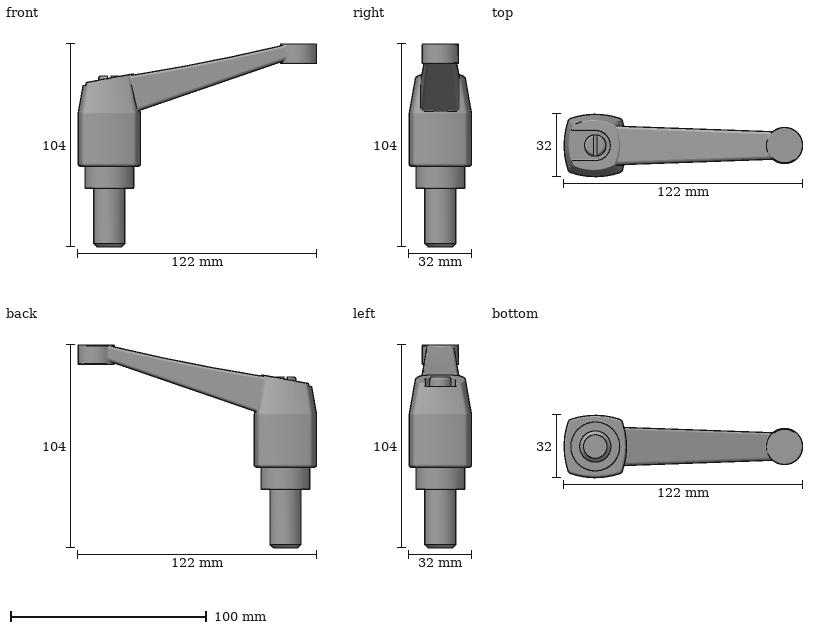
import cadquery as cq
import math


pin_diameter = 16.0
pin_tip_chamfer = 2.0
collar_diameter = 25.0
collar_bottom_z = 30.0
collar_edge_fillet = 0.5

hub_width = 32.0
hub_corner = 13.5
hub_corner_fillet = 2.2
hub_bottom_z = 41.4
hub_shoulder_z = 68.3
hub_taper_angle = 10.0
hub_bottom_fillet = 1.2
hub_shoulder_fillet = 1.5
hub_top_fillet = 0.43

top_angle = 10.5
top_z_at_axis = 86.4

recess_width = 15.4
recess_floor_z = 82.7
recess_floor_fillet = 0.5
screw_diameter = 11.0
screw_top_z = 87.6
screw_edge_fillet = 1.5
screw_slot_width = 1.6
screw_slot_depth = 1.6

overall_length = 122.0
overall_height = 104.0
knob_diameter = 18.5
knob_height = 10.1
knob_edge_fillet = 0.5
knob_x = overall_length - hub_width / 2 - knob_diameter / 2

arm_root_x = 9.2
arm_middle_x = 49.0
arm_end_x = 91.5
arm_root_width = 20.0
arm_end_width = 14.2
arm_root_bottom_z = 67.7
arm_root_top_z = 87.5
arm_middle_top_z = 94.5
arm_end_bottom_z = 96.0
arm_end_top_z = 103.8
arm_edge_fillet = 1.6
arm_joint_fillet = 0.5

surface_tolerance = 0.01


def top_z(x):
    """Height of the sloping top plane at a given X."""
    return top_z_at_axis + x * math.tan(math.radians(top_angle))


def hub_outline(inset):
    """Square with bulged sides and rounded corners, every side moved in by the inset."""
    bulge = hub_width / 2 - inset
    corner = hub_corner - inset
    corners = [(-corner, -corner), (corner, -corner), (corner, corner), (-corner, corner)]
    side_middles = [(0, -bulge), (bulge, 0), (0, bulge), (-bulge, 0)]
    outline = cq.Sketch()
    for start, middle, end in zip(corners, side_middles, corners[1:] + corners[:1]):
        outline = outline.arc(start, middle, end)
    return outline.assemble().vertices().fillet(hub_corner_fillet)


def make_pin_and_collar():
    """Chamfered pin and the collar around its upper end, both reaching up to the hub."""
    pin = cq.Workplane("XY").circle(pin_diameter / 2).extrude(hub_bottom_z)
    pin = pin.faces("<Z").chamfer(pin_tip_chamfer)
    collar = (
        cq.Workplane("XY", origin=(0, 0, collar_bottom_z))
        .circle(collar_diameter / 2)
        .extrude(hub_bottom_z - collar_bottom_z)
        .faces("<Z")
        .edges()
        .fillet(collar_edge_fillet)
    )
    return pin.union(collar)


def make_hub():
    """Bulged square hub with a sloping top and a recess for the screw."""
    straight = (
        cq.Workplane("XY", origin=(0, 0, hub_bottom_z))
        .placeSketch(hub_outline(0))
        .extrude(hub_shoulder_z - hub_bottom_z)
        .faces("<Z")
        .edges()
        .fillet(hub_bottom_fillet)
    )

    reach = hub_width / 2
    loft_top_z = top_z(reach)
    loft_height = loft_top_z - hub_shoulder_z
    inset = loft_height * math.tan(math.radians(hub_taper_angle))
    tapered = (
        cq.Workplane("XY", origin=(0, 0, hub_shoulder_z))
        .placeSketch(hub_outline(0), hub_outline(inset).moved(cq.Location((0, 0, loft_height))))
        .loft(ruled=True)
    )
    hub = straight.union(tapered)
    shoulder = cq.selectors.BoxSelector(
        (-reach, -reach, hub_shoulder_z - surface_tolerance),
        (reach, reach, hub_shoulder_z + surface_tolerance),
        boundingbox=True,
    )
    hub = hub.edges(shoulder).fillet(hub_shoulder_fillet)

    above_top = (
        cq.Workplane("XZ")
        .polyline([(-reach, top_z(-reach)), (reach, top_z(reach)), (-reach, top_z(reach))])
        .close()
        .extrude(reach, both=True)
    )
    hub = hub.cut(above_top).cut(make_recess())

    top_normal = cq.Vector(top_z(0) - top_z(1.2), 0, 1.2)
    rim = hub.faces(cq.selectors.ParallelDirSelector(top_normal)).edges()
    floor_end = hub.edges(
        cq.selectors.BoxSelector(
            (-reach, -recess_width / 2, recess_floor_z - surface_tolerance),
            (-screw_diameter, recess_width / 2, recess_floor_z + surface_tolerance),
            boundingbox=True,
        )
    )
    return rim.add(floor_end).fillet(hub_top_fillet)


def make_arm():
    """Tapering arm with four rounded edges; its ends are buried in the hub and the knob."""
    side_block = (
        cq.Workplane("XZ")
        .moveTo(arm_root_x, arm_root_bottom_z)
        .lineTo(arm_end_x, arm_end_bottom_z)
        .lineTo(arm_end_x, arm_end_top_z)
        .threePointArc((arm_middle_x, arm_middle_top_z), (arm_root_x, arm_root_top_z))
        .close()
        .extrude(arm_root_width, both=True)
    )
    plan = [
        (arm_root_x, -arm_root_width / 2),
        (arm_end_x, -arm_end_width / 2),
        (arm_end_x, arm_end_width / 2),
        (arm_root_x, arm_root_width / 2),
    ]
    plan_block = cq.Workplane("XY").polyline(plan).close().extrude(overall_height)
    arm = side_block.intersect(plan_block)
    long_edges = cq.selectors.BoxSelector(
        (arm_root_x + surface_tolerance, -arm_root_width, 0),
        (arm_end_x - surface_tolerance, arm_root_width, overall_height),
    )
    return arm.edges(long_edges).fillet(arm_edge_fillet)


def make_knob():
    """Short round knob with softened edges."""
    return (
        cq.Workplane("XY", origin=(knob_x, 0, overall_height - knob_height))
        .circle(knob_diameter / 2)
        .extrude(knob_height)
        .faces("<Z or >Z")
        .edges()
        .fillet(knob_edge_fillet)
    )


def make_recess():
    """Round-ended slot with a flat floor, to be cut from the hub top."""
    depth = overall_height - recess_floor_z
    round_end = cq.Workplane("XY", origin=(0, 0, recess_floor_z)).circle(recess_width / 2).extrude(depth)
    channel = (
        cq.Workplane("XY", origin=(0, 0, recess_floor_z))
        .rect(hub_width, recess_width)
        .extrude(depth)
        .translate((-hub_width / 2, 0, 0))
    )
    return round_end.union(channel).faces("<Z").edges("not <X").fillet(recess_floor_fillet)


def make_screw():
    """Slotted round screw head rising out of the hub."""
    head = (
        cq.Workplane("XY", origin=(0, 0, hub_shoulder_z))
        .circle(screw_diameter / 2)
        .extrude(screw_top_z - hub_shoulder_z)
        .faces(">Z")
        .edges()
        .fillet(screw_edge_fillet)
    )
    slot = cq.Workplane("XY", origin=(0, 0, screw_top_z - screw_slot_depth / 2)).box(
        screw_slot_width, screw_diameter, screw_slot_depth
    )
    return head.cut(slot)


def join_with_fillet(body, addition):
    """Unite two solids and round the inner corner where their surfaces cross."""
    body_skin, addition_skin = (solid.shells().val() for solid in (body, addition))
    joined = body.union(addition)
    corner_edges = []
    for edge in joined.edges().vals():
        middle = cq.Vertex.makeVertex(*edge.positionAt(0.5).toTuple())
        if max(middle.distance(body_skin), middle.distance(addition_skin)) < surface_tolerance:
            corner_edges.append(edge)
    return joined.newObject(corner_edges).fillet(arm_joint_fillet)


lever = join_with_fillet(join_with_fillet(make_hub(), make_arm()), make_knob())
result = lever.union(make_screw()).union(make_pin_and_collar())